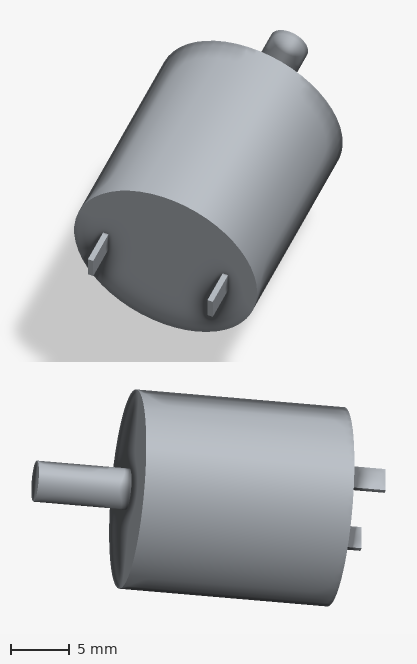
import cadquery as cq

total_length = 29.2
shaft_length = 8.0
terminal_length = 3.2
body_length = total_length - shaft_length - terminal_length

body_diameter = 17.0
shaft_diameter = 3.5

terminal_spacing = 11.1
terminal_thickness = 0.5
terminal_height = 2.01


def cylinder_along_y(diameter, start_y, length):
    """Solid cylinder on the Y axis, from start_y toward +Y."""
    plane = cq.Plane(origin=(0, start_y, 0), xDir=(1, 0, 0), normal=(0, 1, 0))
    return cq.Workplane(plane).circle(diameter / 2).extrude(length)


def terminal(center_x):
    """Flat blade standing out of the body's -Y face, at y = 0."""
    return (
        cq.Workplane("XZ")
        .center(center_x, 0)
        .rect(terminal_thickness, terminal_height)
        .extrude(terminal_length)
    )


body = cylinder_along_y(body_diameter, 0, body_length)
shaft = cylinder_along_y(shaft_diameter, body_length, shaft_length)

result = body.union(shaft)
for side in (-1, 1):
    result = result.union(terminal(side * terminal_spacing / 2))